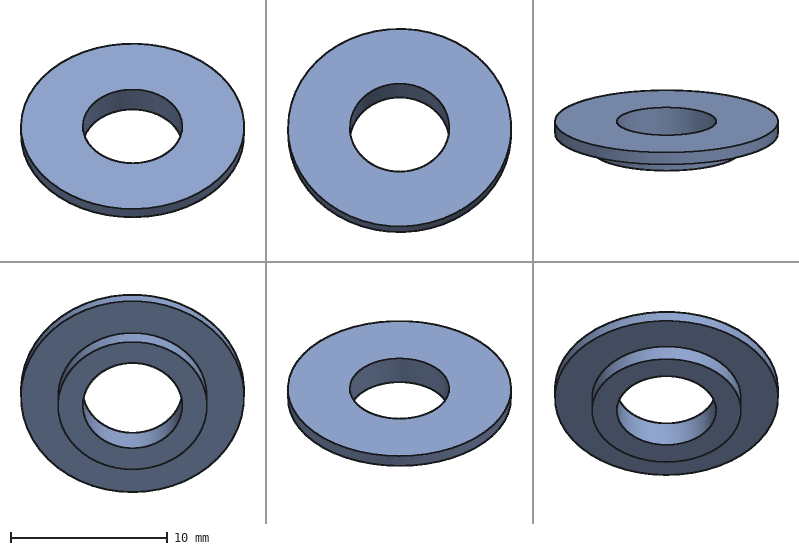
import cadquery as cq

flange_diameter = 14.27
hub_diameter = 9.52
bore_diameter = 6.35
total_height = 1.91
flange_thickness = 0.8

hub_height = total_height - flange_thickness

hub = cq.Workplane("XY").circle(hub_diameter / 2).extrude(hub_height)
flange = (
    cq.Workplane("XY")
    .workplane(offset=hub_height)
    .circle(flange_diameter / 2)
    .extrude(flange_thickness)
)

bore = cq.Workplane("XY").circle(bore_diameter / 2).extrude(total_height)

result = hub.union(flange).cut(bore)